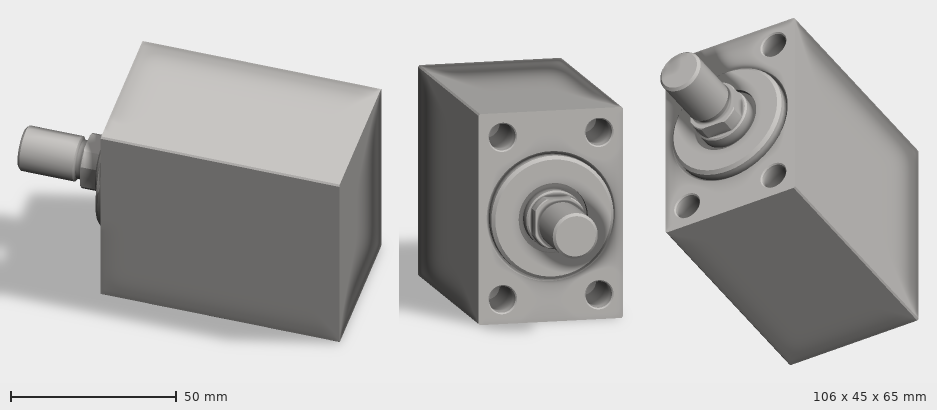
import cadquery as cq
import math


HOUSING_LENGTH = 75.0
HOUSING_WIDTH = 45.0
HOUSING_HEIGHT = 65.0
HOUSING_EDGE_CHAMFER = 0.5

HOLE_SPACING_Y = 30.0
HOLE_SPACING_Z = 50.0
HOLE_DIAMETER = 8.2
HOLE_MOUTH_DIAMETER = 9.0
HOLE_DEPTH = 20.0
DRILL_TIP_ANGLE = 118.0

GLAND_DIAMETER = 38.0
GLAND_PROTRUSION = 3.0
GLAND_INSERTION = 12.0
GLAND_CHAMFER = 1.0
BORE_MOUTH_CHAMFER = 1.0

WIPER_DIAMETER = 22.5
WIPER_LENGTH = 4.5
WIPER_LIP_WIDTH = 0.5
WIPER_DISH_DEPTH = 1.5

ROD_DIAMETER = 18.0
ROD_SHOULDER_X = -6.0
ROD_SHOULDER_CHAMFER = 0.5
WRENCH_DIAMETER = 17.0
WRENCH_FLAT_WIDTH = 15.0
WRENCH_LENGTH = 5.0
WRENCH_CHAMFER = 0.3
NECK_DIAMETER = 12.0
NECK_LENGTH = 1.9
NECK_FILLET = 0.4
NECK_TAPER = 0.6
THREAD_DIAMETER = 14.0
THREAD_TIP_CHAMFER = 0.8
ROD_PROTRUSION = 31.0

GLAND_FACE_X = -GLAND_PROTRUSION
WIPER_BACK_X = GLAND_FACE_X + WIPER_LENGTH
ROD_TIP_X = -ROD_PROTRUSION
WRENCH_FRONT_X = ROD_SHOULDER_X - WRENCH_LENGTH
NECK_FRONT_X = WRENCH_FRONT_X - NECK_LENGTH
THREAD_END_X = NECK_FRONT_X - NECK_TAPER


def revolve_about_x(profile_points):
    """Solid of revolution about X from a closed (x, radius) outline."""
    profile = cq.Workplane("XY").polyline(profile_points).close()
    return profile.revolve(360, (0, 0, 0), (1, 0, 0))


def cylinder_along_x(diameter, start_x, end_x):
    return cq.Workplane("YZ", origin=(start_x, 0, 0)).circle(diameter / 2).extrude(end_x - start_x)


def make_mounting_hole():
    """Blind drilled hole with a chamfered mouth, along the X axis and opening at X = 0."""
    radius = HOLE_DIAMETER / 2
    mouth_radius = HOLE_MOUTH_DIAMETER / 2
    tip_length = radius / math.tan(math.radians(DRILL_TIP_ANGLE / 2))
    return revolve_about_x([
        (0, 0),
        (0, mouth_radius),
        (mouth_radius - radius, radius),
        (HOLE_DEPTH, radius),
        (HOLE_DEPTH + tip_length, 0),
    ])


def make_housing():
    block = cq.Workplane("XY").box(
        HOUSING_LENGTH, HOUSING_WIDTH, HOUSING_HEIGHT, centered=(False, True, True)
    )
    block = block.edges("|X").chamfer(HOUSING_EDGE_CHAMFER)

    bore_radius = GLAND_DIAMETER / 2
    bore = revolve_about_x([
        (0, 0),
        (0, bore_radius + BORE_MOUTH_CHAMFER),
        (BORE_MOUTH_CHAMFER, bore_radius),
        (GLAND_INSERTION, bore_radius),
        (GLAND_INSERTION, 0),
    ])
    block = block.cut(bore)

    hole = make_mounting_hole()
    for side_y in (-1, 1):
        for side_z in (-1, 1):
            place = (0, side_y * HOLE_SPACING_Y / 2, side_z * HOLE_SPACING_Z / 2)
            block = block.cut(hole.translate(place))
    return block


def make_gland():
    gland = cylinder_along_x(GLAND_DIAMETER, GLAND_FACE_X, GLAND_INSERTION)
    gland = gland.faces("<X").edges().chamfer(GLAND_CHAMFER)

    rod_bore = cylinder_along_x(ROD_DIAMETER, GLAND_FACE_X, GLAND_INSERTION)
    wiper_seat = cylinder_along_x(WIPER_DIAMETER, GLAND_FACE_X, WIPER_BACK_X)
    return gland.cut(rod_bore).cut(wiper_seat)


def make_wiper():
    wiper = cylinder_along_x(WIPER_DIAMETER, GLAND_FACE_X, WIPER_BACK_X)
    rod_bore = cylinder_along_x(ROD_DIAMETER, GLAND_FACE_X, WIPER_BACK_X)
    dish_diameter = WIPER_DIAMETER - 2 * WIPER_LIP_WIDTH
    dish = cylinder_along_x(dish_diameter, GLAND_FACE_X, GLAND_FACE_X + WIPER_DISH_DEPTH)
    return wiper.cut(rod_bore).cut(dish)


def make_wrench_section():
    """Round section with four flats forming a square across Y and Z."""
    section = cylinder_along_x(WRENCH_DIAMETER, WRENCH_FRONT_X, ROD_SHOULDER_X)
    section = section.faces("<X").edges().chamfer(WRENCH_CHAMFER)
    square = cq.Workplane("YZ", origin=(WRENCH_FRONT_X, 0, 0))
    square = square.rect(WRENCH_FLAT_WIDTH, WRENCH_FLAT_WIDTH).extrude(WRENCH_LENGTH)
    return section.intersect(square)


def make_piston_rod():
    body = cylinder_along_x(ROD_DIAMETER, ROD_SHOULDER_X, GLAND_INSERTION)
    body = body.faces("<X").edges().chamfer(ROD_SHOULDER_CHAMFER)

    neck_radius = NECK_DIAMETER / 2
    thread_radius = THREAD_DIAMETER / 2
    fillet_bend = NECK_FILLET * (1 - math.sqrt(0.5))
    threaded_end = (
        cq.Workplane("XY")
        .moveTo(ROD_TIP_X, 0)
        .lineTo(ROD_TIP_X, thread_radius - THREAD_TIP_CHAMFER)
        .lineTo(ROD_TIP_X + THREAD_TIP_CHAMFER, thread_radius)
        .lineTo(THREAD_END_X, thread_radius)
        .lineTo(NECK_FRONT_X, neck_radius)
        .lineTo(WRENCH_FRONT_X - NECK_FILLET, neck_radius)
        .threePointArc(
            (WRENCH_FRONT_X - fillet_bend, neck_radius + fillet_bend),
            (WRENCH_FRONT_X, neck_radius + NECK_FILLET),
        )
        .lineTo(WRENCH_FRONT_X, 0)
        .close()
        .revolve(360, (0, 0, 0), (1, 0, 0))
    )
    return body.union(make_wrench_section()).union(threaded_end)


housing = make_housing()
gland = make_gland()
wiper = make_wiper()
piston_rod = make_piston_rod()

result = cq.Compound.makeCompound([
    housing.val(),
    gland.val(),
    wiper.val(),
    piston_rod.val(),
])